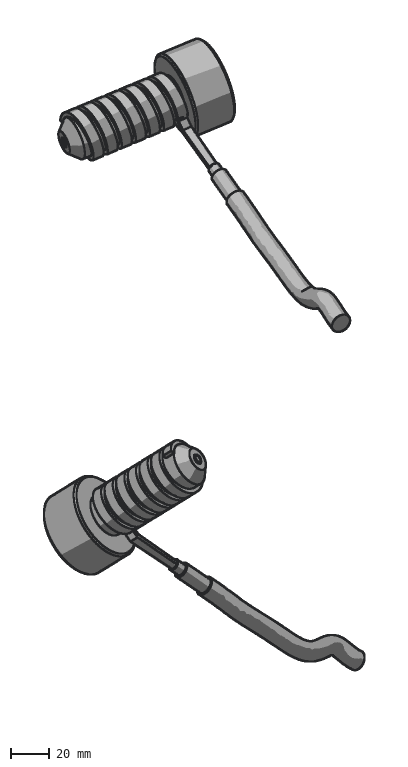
import cadquery as cq
import math

HEAD_DIAMETER = 46.9
HEAD_LENGTH = 23.5
HEAD_CHAMFER = 1.0
SHANK_RADIUS = 11.8
SHANK_END = 83.2
TIP_FACE = 89.1
TIP_FACE_RADIUS = 6.3

PIN_RADIUS = 2.7
PIN_SEAT_DEPTH = 4.2
PIN_SEAT_Y = TIP_FACE - PIN_SEAT_DEPTH
PIN_STUB_RADIUS = 2.1
PIN_STUB_END = 89.5
PIN_POINT_RADIUS = 0.5
PIN_END = 90.0

COIL_WIDTH = 6.0
COIL_THICKNESS = 2.5
COIL_TURNS = 6.5
COIL_START_Y = -80.7
COIL_END_Y = -HEAD_LENGTH - COIL_WIDTH / 2
COIL_RISE = COIL_END_Y - COIL_START_Y
COIL_PITCH = COIL_RISE / COIL_TURNS
COIL_RADIUS = SHANK_RADIUS + COIL_THICKNESS

LEAD_Y = COIL_END_Y
LEAD_Z = -6.0
LEAD_WIDTH = 5.0
LEAD_BEND_X = 18.8
LEAD_DROP = 2.1
LEAD_ROOT_X = 10.5
LEAD_INNER_BEND_X = 18.0
LEAD_END_DIAMETER = 5.0

FERRULE_X = 48.0
FERRULE_DIAMETER = 6.5
SLEEVE_X = 53.6
SLEEVE_DIAMETER = 8.9
CABLE_X = 71.4
CABLE_DIAMETER = 10.8
CABLE_BEND_X = 78.5
CABLE_END_RISE = 0.2
CABLE_PATH = [
    (CABLE_BEND_X, LEAD_Z),
    (100.0, -6.8),
    (113.5, -6.1),
    (128.5, -5.7),
    (141.3, -5.0),
    (148.5, -3.0),
    (158.2, 4.0),
    (170.2, 14.2),
    (186.7, 14.2),
]


def y_cylinder(radius, y_from, y_to):
    """Cylinder on the nozzle axis, between two distances in front of the head back."""
    return cq.Workplane("XZ", origin=(0, -y_from, 0)).circle(radius).extrude(y_to - y_from)


def revolve_about_y(profile):
    return cq.Workplane("XY").polyline(profile).close().revolve(360, (0, 0, 0), (0, 1, 0))


def lead_plane(x):
    """Plane across the lead axis: local X is +Y, local Y is +Z, normal is +X."""
    return cq.Workplane("YZ", origin=(x, LEAD_Y, LEAD_Z))


def x_cylinder(diameter, x_from, x_to):
    return lead_plane(x_from).circle(diameter / 2).extrude(x_to - x_from)


def make_nozzle():
    head = y_cylinder(HEAD_DIAMETER / 2, 0, HEAD_LENGTH).edges().chamfer(HEAD_CHAMFER)
    shank_profile = [
        (0, 0),
        (SHANK_RADIUS, 0),
        (SHANK_RADIUS, -SHANK_END),
        (TIP_FACE_RADIUS, -TIP_FACE),
        (0, -TIP_FACE),
    ]
    shank = revolve_about_y(shank_profile)
    pin_seat = y_cylinder(PIN_RADIUS, PIN_SEAT_Y, TIP_FACE)
    return head.union(shank).cut(pin_seat)


def make_tip_pin():
    """Pin flush with the tip face, with a narrower stub that ends in a blunt cone."""
    pin_profile = [
        (0, -PIN_SEAT_Y),
        (PIN_RADIUS, -PIN_SEAT_Y),
        (PIN_RADIUS, -TIP_FACE),
        (PIN_STUB_RADIUS, -TIP_FACE),
        (PIN_STUB_RADIUS, -PIN_STUB_END),
        (PIN_POINT_RADIUS, -PIN_END),
        (0, -PIN_END),
    ]
    return revolve_about_y(pin_profile)


def make_winding():
    """Helix wound up +Z from the +X side, then laid along Y so that it starts at -X."""
    helix = cq.Wire.makeHelix(COIL_PITCH, COIL_RISE, SHANK_RADIUS)
    middle_radius = SHANK_RADIUS + COIL_THICKNESS / 2
    section = cq.Workplane("XZ").center(middle_radius, 0).rect(COIL_THICKNESS, COIL_WIDTH)
    winding = section.sweep(cq.Workplane(helix), isFrenet=True)
    winding = winding.rotate((0, 0, 0), (0, 0, 1), 180).rotate((0, 0, 0), (1, 0, 0), -90)
    return winding.translate((0, COIL_START_Y, 0))


def make_lead():
    """Flat strip bent away from the coil, changing to a round wire at the ferrule."""
    lead_top = LEAD_Z + COIL_THICKNESS / 2
    lead_bottom = LEAD_Z - COIL_THICKNESS / 2
    bend_outline = [
        (LEAD_ROOT_X, 0),
        (COIL_RADIUS, 0),
        (math.sqrt(COIL_RADIUS**2 - LEAD_DROP**2), -LEAD_DROP),
        (LEAD_BEND_X, lead_top),
        (LEAD_BEND_X, lead_bottom),
        (LEAD_INNER_BEND_X, lead_bottom),
        (LEAD_ROOT_X, -LEAD_DROP),
    ]
    bend_plane = cq.Workplane("XZ", origin=(0, LEAD_Y, 0))
    bend = bend_plane.polyline(bend_outline).close().extrude(LEAD_WIDTH / 2, both=True)
    bend = bend.cut(y_cylinder(SHANK_RADIUS, 0, SHANK_END))
    flat_end = lead_plane(LEAD_BEND_X).rect(LEAD_WIDTH, COIL_THICKNESS)
    taper = flat_end.workplane(offset=FERRULE_X - LEAD_BEND_X).circle(LEAD_END_DIAMETER / 2).loft()
    return bend.union(taper)


def make_cable():
    collar = x_cylinder(CABLE_DIAMETER, CABLE_X, CABLE_BEND_X)
    path = cq.Workplane("XZ", origin=(0, LEAD_Y, 0)).spline(CABLE_PATH, tangents=[(1, 0), (1, CABLE_END_RISE)])
    run = lead_plane(CABLE_BEND_X).circle(CABLE_DIAMETER / 2).sweep(path)
    return collar.union(run)


nozzle = make_nozzle()
tip_pin = make_tip_pin()
heater_coil = make_winding().union(make_lead())
ferrule = x_cylinder(FERRULE_DIAMETER, FERRULE_X, SLEEVE_X)
sleeve = x_cylinder(SLEEVE_DIAMETER, SLEEVE_X, CABLE_X)
cable = make_cable()

result = cq.Compound.makeCompound([
    nozzle.val(),
    tip_pin.val(),
    heater_coil.val(),
    ferrule.val(),
    sleeve.val(),
    cable.val(),
])